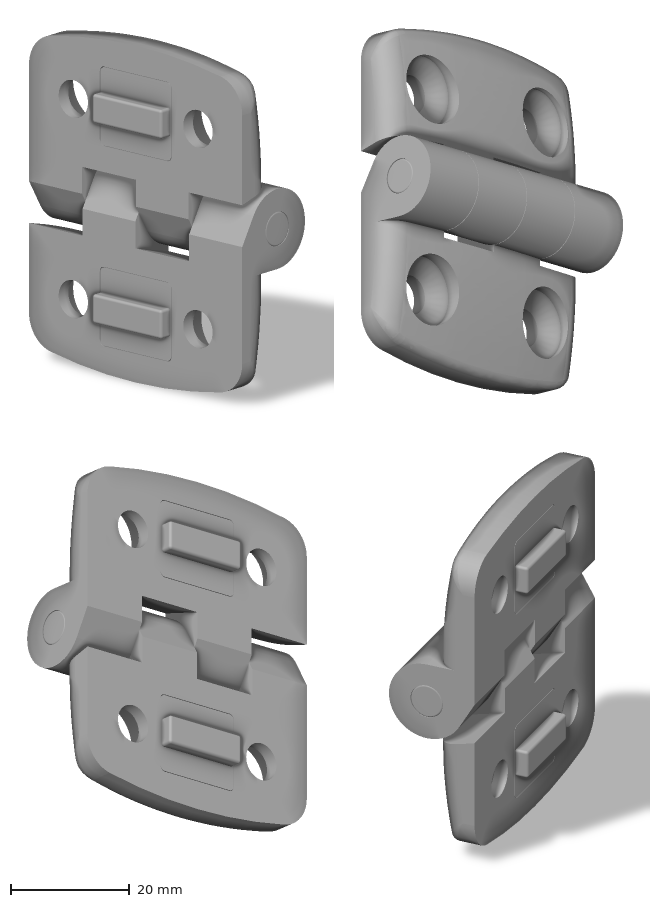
import cadquery as cq
import math

WIDTH = 48.0
HALF_WIDTH = WIDTH / 2
HALF_HEIGHT = 29.5

BARREL_RADIUS = 7.0
AXIS_Y = 8.9
KNUCKLE_COUNT = 4
KNUCKLE_PITCH = WIDTH / KNUCKLE_COUNT
KNUCKLE_GAP = 0.1
TOE_Z = 1.3
TOE_ANGLE = math.atan2(TOE_Z, -AXIS_Y) + math.acos(BARREL_RADIUS / math.hypot(AXIS_Y, TOE_Z))
PIN_RADIUS = 3.0
PIN_EDGE = 0.3

END_ARC_RADIUS = 100.0
CORNER_RADIUS = 6.0
END_EDGE = 1.5

DOME_Y = 8.4
DOME_Z = 8.25
DOME_LENGTH_RADIUS = 88.5
DOME_WIDTH_RADIUS = 194.7
SIDE_EDGE = 4.0

RELIEF_Z = 6.0
RELIEF_SLOPE = math.radians(15)

HOLE_X = 14.05
MOUNT_Z = 17.5
HOLE_RADIUS = 3.3
HEAD_RADIUS = 6.1
SEAT_Y = 2.5

POCKET_WIDTH = 16.15
POCKET_HEIGHT = 13.9
POCKET_DEPTH = 2.0
POCKET_CORNER = 1.0
INSERT_GAP = 0.1
BAR_WIDTH = 15.6
BAR_HEIGHT = 5.0
BAR_REACH = 2.3
BAR_EDGE = 0.5

CLEAR = 0.6


def plan_prism():
    """Leaf outline: straight sides, a large end arc and rounded corners."""
    corner_drop = END_ARC_RADIUS - math.sqrt(END_ARC_RADIUS**2 - HALF_WIDTH**2)
    corner_z = HALF_HEIGHT - corner_drop
    return (
        cq.Workplane("XZ")
        .moveTo(-HALF_WIDTH, 0)
        .lineTo(HALF_WIDTH, 0)
        .lineTo(HALF_WIDTH, corner_z)
        .threePointArc((0, HALF_HEIGHT), (-HALF_WIDTH, corner_z))
        .close()
        .extrude(-DOME_Y - CLEAR)
        .edges("|Y")
        .edges(">Z")
        .fillet(CORNER_RADIUS)
    )


def dome_sector():
    """Crowned cross-section, rounded at both sides, turned about an X-parallel axis."""
    crown_centre_y = DOME_Y - DOME_WIDTH_RADIUS
    round_x = HALF_WIDTH - SIDE_EDGE
    round_reach = DOME_WIDTH_RADIUS - SIDE_EDGE
    round_y = crown_centre_y + math.sqrt(round_reach**2 - round_x**2)
    top_angle = math.acos(round_x / round_reach)
    top_x = round_x + SIDE_EDGE * math.cos(top_angle)
    top_y = round_y + SIDE_EDGE * math.sin(top_angle)
    mid_x = round_x + SIDE_EDGE * math.cos(top_angle / 2)
    mid_y = round_y + SIDE_EDGE * math.sin(top_angle / 2)
    base_y = -DOME_Y
    section = (
        cq.Workplane("XY", origin=(0, 0, DOME_Z))
        .moveTo(-HALF_WIDTH, base_y)
        .lineTo(HALF_WIDTH, base_y)
        .lineTo(HALF_WIDTH, round_y)
        .threePointArc((mid_x, mid_y), (top_x, top_y))
        .threePointArc((0, DOME_Y), (-top_x, top_y))
        .threePointArc((-mid_x, mid_y), (-HALF_WIDTH, round_y))
        .close()
    )
    turn_y = DOME_Y - DOME_LENGTH_RADIUS
    sweep_degrees = 50
    sector = section.revolve(sweep_degrees, (0, turn_y, 0), (1, turn_y, 0))
    return sector.rotate((0, turn_y, DOME_Z), (1, turn_y, DOME_Z), -sweep_degrees / 2)


def cover():
    """Domed plate with a small round along its curved end and a large one along its sides."""
    plate = plan_prism().intersect(dome_sector())
    end_zone = cq.selectors.BoxSelector((-CLEAR, DOME_Y / 2, 0), (CLEAR, DOME_Y, HALF_HEIGHT))
    plate = plate.edges(end_zone).edges(">Z").fillet(END_EDGE)
    hinge_half = cq.Workplane("XY").box(2 * WIDTH, 4 * DOME_Y, BARREL_RADIUS)
    return plate.cut(hinge_half)


def column(index):
    """X limits of one knuckle; inner sides give up half of the running gap."""
    left = -HALF_WIDTH + index * KNUCKLE_PITCH
    right = left + KNUCKLE_PITCH
    if index > 0:
        left += KNUCKLE_GAP / 2
    if index < KNUCKLE_COUNT - 1:
        right -= KNUCKLE_GAP / 2
    return left, right


def barrel():
    """Barrel with a flat top web and a toe running tangentially to the mounting face."""
    tangent_point = (
        AXIS_Y + BARREL_RADIUS * math.cos(TOE_ANGLE),
        BARREL_RADIUS * math.sin(TOE_ANGLE),
    )
    return (
        cq.Workplane("YZ", origin=(-HALF_WIDTH, 0, 0))
        .moveTo(0, BARREL_RADIUS)
        .lineTo(0, TOE_Z)
        .lineTo(*tangent_point)
        .threePointArc((AXIS_Y + BARREL_RADIUS, 0), (AXIS_Y, BARREL_RADIUS))
        .close()
        .extrude(WIDTH)
    )


def mating_relief(index):
    """Clearance for a knuckle of the other leaf; its sloping face ends the cover."""
    left, right = column(index)
    rise = math.tan(RELIEF_SLOPE)
    top_z = RELIEF_Z + AXIS_Y * rise
    far_y = AXIS_Y + BARREL_RADIUS + CLEAR
    bottom_z = -BARREL_RADIUS - CLEAR
    return (
        cq.Workplane("YZ", origin=(left - KNUCKLE_GAP, 0, 0))
        .moveTo(-CLEAR, bottom_z)
        .lineTo(far_y, bottom_z)
        .lineTo(far_y, top_z)
        .lineTo(AXIS_Y, top_z)
        .lineTo(-CLEAR, RELIEF_Z - CLEAR * rise)
        .close()
        .extrude(right - left + 2 * KNUCKLE_GAP)
    )


def screw_hole(x):
    """Through hole with a conical seat and a straight head recess on the domed side."""
    recess_y = SEAT_Y + HEAD_RADIUS - HOLE_RADIUS
    return (
        cq.Workplane("XY", origin=(x, 0, MOUNT_Z))
        .lineTo(HOLE_RADIUS, 0)
        .lineTo(HOLE_RADIUS, SEAT_Y)
        .lineTo(HEAD_RADIUS, recess_y)
        .lineTo(HEAD_RADIUS, DOME_Y + CLEAR)
        .lineTo(0, DOME_Y + CLEAR)
        .close()
        .revolve(360, (0, 0, 0), (0, 1, 0))
    )


def mount_plate(width, height, corner):
    """Round-cornered plate reaching from the mounting face to the pocket floor."""
    return (
        cq.Workplane("XZ", origin=(0, 0, MOUNT_Z))
        .rect(width, height)
        .extrude(-POCKET_DEPTH)
        .edges("|Y")
        .fillet(corner)
    )


def pin_bore():
    return (
        cq.Workplane("YZ", origin=(-HALF_WIDTH - CLEAR, AXIS_Y, 0))
        .circle(PIN_RADIUS)
        .extrude(WIDTH + 2 * CLEAR)
    )


def leaf():
    """Upper leaf: its knuckles are the first and third, counted from -X."""
    body = cover().union(barrel())
    for index in (1, 3):
        body = body.cut(mating_relief(index))
    for x in (-HOLE_X, HOLE_X):
        body = body.cut(screw_hole(x))
    body = body.cut(mount_plate(POCKET_WIDTH, POCKET_HEIGHT, POCKET_CORNER))
    return body.cut(pin_bore())


def insert():
    """Plate filling the pocket with a small side gap, and a locating bar standing out of it."""
    plate = mount_plate(
        POCKET_WIDTH - 2 * INSERT_GAP, POCKET_HEIGHT - 2 * INSERT_GAP, POCKET_CORNER - INSERT_GAP
    )
    bar = (
        cq.Workplane("XZ", origin=(0, 0, MOUNT_Z))
        .rect(BAR_WIDTH, BAR_HEIGHT)
        .extrude(BAR_REACH)
        .edges("|Y or <Y")
        .fillet(BAR_EDGE)
    )
    return plate.union(bar)


def pin():
    """Hinge pin, flush with the outer knuckles, with rounded ends."""
    rod = cq.Workplane("YZ", origin=(-HALF_WIDTH, AXIS_Y, 0)).circle(PIN_RADIUS).extrude(WIDTH)
    return rod.edges("%CIRCLE").fillet(PIN_EDGE)


bodies = [pin().val()]
for turn in (0, 180):
    bodies.append(leaf().rotate((0, 0, 0), (0, 1, 0), turn).val())
    bodies.append(insert().rotate((0, 0, 0), (0, 1, 0), turn).val())

result = cq.Compound.makeCompound(bodies)